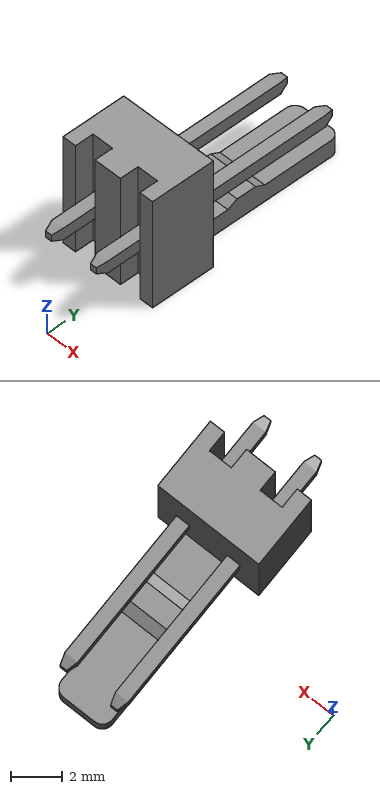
import cadquery as cq


PITCH = 2.54
PIN_COUNT = 2

HOUSING_WIDTH = 5.06
HOUSING_DEPTH = 3.3
HOUSING_HEIGHT = 5.8
SLOT_WIDTH = 1.1
SLOT_DEPTH = 0.95

PIN_SIZE = 0.64
PIN_TIP_SIZE = 0.34
PIN_TAPER_LENGTH = 0.5
PIN_AXIS_HEIGHT = 2.6
PIN_MATING_LENGTH = 7.5
PIN_TAIL_LENGTH = 2.0

TONGUE_WIDTH = PITCH
TONGUE_LENGTH = 8.1
TONGUE_THICKNESS = 0.9
TONGUE_CORNER_RADIUS = 0.5
RIDGE_HEIGHT = 0.25
RIDGE_START = 2.0
RIDGE_LENGTH = 2.0
RIDGE_RAMP_LENGTH = 0.5

PIN_POSITIONS = [(i - (PIN_COUNT - 1) / 2) * PITCH for i in range(PIN_COUNT)]


def make_housing():
    """Block with a full-height slot around each pin on the tail side."""
    housing = cq.Workplane("XY").box(
        HOUSING_WIDTH, HOUSING_DEPTH, HOUSING_HEIGHT, centered=(True, False, False)
    ).translate((0, -HOUSING_DEPTH, 0))
    slot = cq.Workplane("XY").box(
        SLOT_WIDTH, SLOT_DEPTH, HOUSING_HEIGHT, centered=(True, False, False)
    )
    for x in PIN_POSITIONS:
        housing = housing.cut(slot.translate((x, -HOUSING_DEPTH, 0)))
    return housing


def make_taper(y_base, direction):
    """Square pin point that narrows from y_base along +Y (1) or -Y (-1)."""
    plane = cq.Plane(origin=(0, y_base, 0), xDir=(1, 0, 0), normal=(0, direction, 0))
    return (
        cq.Workplane(plane)
        .rect(PIN_SIZE, PIN_SIZE)
        .workplane(offset=PIN_TAPER_LENGTH)
        .rect(PIN_TIP_SIZE, PIN_TIP_SIZE)
        .loft(ruled=True)
    )


def make_pin():
    """Square pin along Y, tapered at both ends, with its axis on Z = 0."""
    shank_front = -HOUSING_DEPTH - PIN_TAIL_LENGTH + PIN_TAPER_LENGTH
    shank_back = PIN_MATING_LENGTH - PIN_TAPER_LENGTH
    shank = cq.Workplane("XY").box(
        PIN_SIZE, shank_back - shank_front, PIN_SIZE, centered=(True, False, True)
    ).translate((0, shank_front, 0))
    return shank.union(make_taper(shank_front, -1)).union(make_taper(shank_back, 1))


def make_tongue():
    """Flat tongue with rounded end corners and a ramped ridge across its top."""
    ridge_end = RIDGE_START + RIDGE_LENGTH
    ridge_top = TONGUE_THICKNESS + RIDGE_HEIGHT
    profile = [
        (0, 0),
        (TONGUE_LENGTH, 0),
        (TONGUE_LENGTH, TONGUE_THICKNESS),
        (ridge_end, TONGUE_THICKNESS),
        (ridge_end - RIDGE_RAMP_LENGTH, ridge_top),
        (RIDGE_START + RIDGE_RAMP_LENGTH, ridge_top),
        (RIDGE_START, TONGUE_THICKNESS),
        (0, TONGUE_THICKNESS),
    ]
    tongue = cq.Workplane("YZ").polyline(profile).close().extrude(TONGUE_WIDTH / 2, both=True)
    return tongue.faces(">Y").edges("|Z").fillet(TONGUE_CORNER_RADIUS)


result = make_housing().union(make_tongue())
pin = make_pin().translate((0, 0, PIN_AXIS_HEIGHT))
for pin_x in PIN_POSITIONS:
    result = result.union(pin.translate((pin_x, 0, 0)))